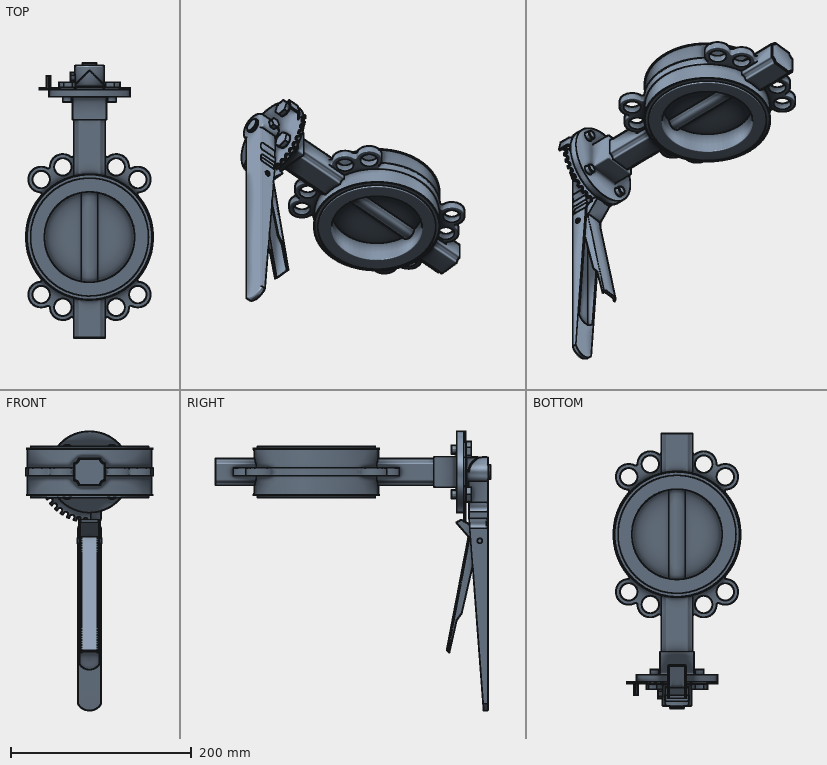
import cadquery as cq
import math


ring_dia = 139.5
ring_waist_dia = 138.0
ring_height = 52.0
rim_height = 1.0
rib_dia = 141.07
rib_height = 9.0
rib_edge_fillet = 0.8
lug_corner_fillet = 2.0
lug_neck_reach_y = 95.0
lug_radius = 14.3
lug_hole_dia = 19.0
lug_centers = [(29.5, 77.6), (53.4, 63.6)]

neck_width = 35.0
neck_height = 30.0
neck_corner_radius = 5.3
neck_bottom_y = -112.0
neck_edge_fillet = 1.2
neck_end_chamfer = 1.0
block_width = 38.0
block_height = 34.0
block_bottom_y = 129.7
block_fillet = 1.5
block_root_fillet = 2.0
flange_dia = 90.0
flange_bottom_y = 155.0
flange_top_y = 163.0

liner_height = 57.0
liner_flange_dia = 130.5
liner_sleeve_dia = 112.0
liner_edge_fillet = 0.8
bore_dia = 100.0
disc_thickness = 6.0
disc_hub_dia = 19.0
stem_dia = 16.0
stem_top_y = 193.0
stem_chamfer = 1.0

plate_thickness = 2.0
plate_top_y = flange_top_y + plate_thickness
sector_radius = 56.0
sector_end_x = 1.6
sector_start_angle = 85.0
notch_dia = 5.0
notch_center_radius = 53.5
first_notch_angle = 4.6
notch_pitch_angle = 8.25
notch_count = 10
stop_angle = 13.0
stop_root_x = -38.0
stop_bend_radius = 1.0
stop_radius = 46.5
stop_width = 12.6
stop_top_y = 178.2

bolt_offset = 35.0 * math.sin(math.radians(45))
bolt_dia = 10.0
bolt_hole_dia = 11.0
bolt_length = 16.0
bolt_chamfer = 0.8
head_width = 16.0
head_height = 6.4
washer_face_height = 0.6
bolt_places = [(-1, 1, -7), (-1, -1, -15), (1, 1, 15), (1, -1, 0)]

hub_dia = 33.0
hub_relief_dia = 30.8
hub_relief_peak_y = 184.5
hub_bottom_y = 166.5
hub_foot_dia = 30.12
lever_top_y = 190.0
lever_width = 25.6
lever_side_y = 168.6
lever_taper_z = -50.0
lever_shoulder_z = -256.5
lever_end_z = -264.0
lever_end_y = 184.8
lever_fillet = 2.0
pocket_width = 21.4
pocket_floor_y = 188.0
pocket_top_z = -54.0
pocket_corner_z = -213.0
pocket_end_z = -218.7
scallop_length = 11.0
scallop_depth = 1.2
scallop_centers_z = [-38.8, -57.0]
clamp_head_width = 10.0
clamp_head_y = 176.3
clamp_head_x = -21.2

trigger_width = 20.0
trigger_wall = 1.5
trigger_sheet = 2.0
trigger_bend = 2.8
channel_top_z = -73.0
pin_dia = 5.5
pin_y = 180.7
pin_z = -76.2
pin_length = 27.6
grip_top = (168.0, -71.5)
grip_end = (144.0, -197.0)


def y_cylinder(dia, y_start, y_end, x=0.0, z=0.0):
    """Cylinder along Y between two heights on the stem axis direction."""
    return (
        cq.Workplane("XZ", origin=(x, y_start, z))
        .circle(dia / 2)
        .extrude(y_start - y_end)
    )


def z_disc(dia, height):
    """Cylinder about Z, centred on the bore."""
    return cq.Workplane("XY").circle(dia / 2).extrude(height / 2, both=True)


def make_lugs():
    """Two overlapping lugs in each quadrant, tied to the ring by the rib."""
    rib = z_disc(rib_dia, rib_height)
    for x_side in (-1, 1):
        for y_side in (-1, 1):
            points = [(x_side * x, y_side * y) for x, y in lug_centers]
            for point in points:
                rib = rib.union(
                    cq.Workplane("XY").center(*point).circle(lug_radius).extrude(rib_height / 2, both=True)
                )
            web = (
                cq.Workplane("XY")
                .polyline([(0, 0), (0, points[0][1]), *points])
                .close()
                .extrude(rib_height / 2, both=True)
            )
            rib = rib.union(web)
    neck_core = cq.Workplane("XY").rect(neck_width, 2 * lug_neck_reach_y).extrude(rib_height / 2, both=True)
    rib = rib.union(neck_core)
    rib = rib.edges("|Z").fillet(lug_corner_fillet)
    rib = rib.faces("<Z or >Z").edges().fillet(rib_edge_fillet)
    holes = [(sx * x, sy * y) for x, y in lug_centers for sx in (-1, 1) for sy in (-1, 1)]
    return rib.cut(
        cq.Workplane("XY").pushPoints(holes).circle(lug_hole_dia / 2).extrude(rib_height, both=True)
    )


def make_housing():
    ring = z_disc(ring_waist_dia, ring_height)
    for side in (-1, 1):
        rim = cq.Workplane("XY", origin=(0, 0, side * ring_height / 2))
        ring = ring.union(rim.circle(ring_dia / 2).extrude(-side * rim_height))
    neck_length = flange_bottom_y - neck_bottom_y
    neck = cq.Workplane("XZ", origin=(0, neck_bottom_y, 0)).rect(neck_width, neck_height).extrude(-neck_length)
    corners = (
        cq.Workplane("XZ", origin=(0, neck_bottom_y, 0))
        .rect(neck_width, neck_height, forConstruction=True)
        .vertices()
        .circle(neck_corner_radius)
        .extrude(-neck_length)
    )
    neck = neck.cut(corners).edges("|Y").fillet(neck_edge_fillet)
    neck = neck.faces("<Y").chamfer(neck_end_chamfer)
    block = (
        cq.Workplane("XZ", origin=(0, block_bottom_y, 0))
        .rect(block_width, block_height)
        .extrude(block_bottom_y - flange_bottom_y)
        .edges("|Y or <Y")
        .fillet(block_fillet)
    )
    flange = y_cylinder(flange_dia, flange_bottom_y, flange_top_y)
    root = cq.selectors.BoxSelector(
        (-block_width, flange_bottom_y - 0.1, -block_height),
        (block_width, flange_bottom_y + 0.1, block_height),
    )
    mount = flange.union(block)
    mount = mount.edges(root).edges("|X or |Z").fillet(block_root_fillet)
    body = ring.union(make_lugs()).union(neck).union(mount)
    body = body.cut(z_disc(liner_sleeve_dia, ring_height))
    body = body.cut(y_cylinder(stem_dia, 0, flange_top_y))
    return body.cut(make_bolt_holes())


def make_bolt_holes():
    holes = cq.Workplane("XY")
    for x_side, z_side, _ in bolt_places:
        hole = y_cylinder(bolt_hole_dia, flange_bottom_y, plate_top_y, x_side * bolt_offset, z_side * bolt_offset)
        holes = holes.union(hole)
    return holes


def make_liner():
    liner = z_disc(liner_sleeve_dia, ring_height)
    for side in (-1, 1):
        flange = cq.Workplane("XY", origin=(0, 0, side * ring_height / 2)).circle(liner_flange_dia / 2)
        liner = liner.union(flange.extrude(side * (liner_height - ring_height) / 2))
    liner = liner.cut(z_disc(bore_dia, liner_height))
    liner = liner.faces("<Z or >Z").edges().fillet(liner_edge_fillet)
    return liner.cut(y_cylinder(stem_dia, 0, liner_flange_dia / 2))


def make_disc():
    disc = z_disc(bore_dia, disc_thickness)
    hub = y_cylinder(disc_hub_dia, -bore_dia / 2, bore_dia / 2)
    disc = disc.union(hub.intersect(z_disc(bore_dia, ring_height)))
    stem = y_cylinder(stem_dia, 0, stem_top_y).faces(">Y").chamfer(stem_chamfer)
    return disc.union(stem)


def make_plate():
    plate = y_cylinder(flange_dia, flange_top_y, plate_top_y)
    start = math.radians(sector_start_angle)
    sector_start = (-sector_radius * math.sin(start), -sector_radius * math.cos(start))
    quadrant = (
        cq.Workplane("XZ", origin=(0, flange_top_y, 0))
        .moveTo(sector_end_x, 0)
        .lineTo(sector_end_x, -math.sqrt(sector_radius**2 - sector_end_x**2))
        .radiusArc(sector_start, sector_radius)
        .lineTo(0, 0)
        .close()
        .extrude(-plate_thickness)
    )
    for index in range(notch_count):
        slot = (
            cq.Workplane("XZ", origin=(0, flange_top_y, 0))
            .center(0, -notch_center_radius)
            .circle(notch_dia / 2)
            .extrude(-plate_thickness)
        )
        slot = slot.union(
            cq.Workplane("XZ", origin=(0, flange_top_y, 0))
            .center(0, -notch_center_radius - notch_dia)
            .rect(notch_dia, 2 * notch_dia)
            .extrude(-plate_thickness)
        )
        turn = first_notch_angle + index * notch_pitch_angle
        quadrant = quadrant.cut(slot.rotate((0, 0, 0), (0, 1, 0), turn))
    plate = plate.union(quadrant).union(make_stop_tab())
    return plate.cut(y_cylinder(stem_dia, flange_top_y, plate_top_y)).cut(make_bolt_holes())


def make_stop_tab():
    """Strip that leaves the plate radially and bends up along the stem direction."""
    outer_x = -stop_radius - plate_thickness / 2
    inner_x = outer_x + plate_thickness
    bend_outer = stop_bend_radius + plate_thickness
    return (
        cq.Workplane("XY")
        .moveTo(stop_root_x, flange_top_y)
        .lineTo(outer_x + bend_outer, flange_top_y)
        .radiusArc((outer_x, flange_top_y + bend_outer), bend_outer)
        .lineTo(outer_x, stop_top_y)
        .lineTo(inner_x, stop_top_y)
        .lineTo(inner_x, plate_top_y + stop_bend_radius)
        .radiusArc((inner_x + stop_bend_radius, plate_top_y), -stop_bend_radius)
        .lineTo(stop_root_x, plate_top_y)
        .close()
        .extrude(stop_width / 2, both=True)
        .rotate((0, 0, 0), (0, 1, 0), stop_angle)
    )


def make_bolt(x_side, z_side, turn):
    head = (
        cq.Workplane("XZ")
        .polygon(6, head_width / math.cos(math.radians(30)))
        .extrude(-head_height + washer_face_height)
        .translate((0, washer_face_height, 0))
        .rotate((0, 0, 0), (0, 1, 0), -turn)
    )
    shank = y_cylinder(bolt_dia, -bolt_length, 0).faces("<Y").chamfer(bolt_chamfer)
    bolt = head.union(y_cylinder(head_width, 0, washer_face_height)).union(shank)
    return bolt.translate((x_side * bolt_offset, plate_top_y, z_side * bolt_offset))


def make_lever():
    half = lever_width / 2
    arm_side = (
        cq.Workplane("YZ", origin=(-half, 0, 0))
        .polyline(
            [
                (lever_top_y, 0),
                (lever_side_y, 0),
                (lever_side_y, lever_taper_z),
                (lever_end_y, lever_end_z),
                (lever_top_y, lever_end_z),
            ]
        )
        .close()
        .extrude(lever_width)
    )
    arm_front = (
        cq.Workplane("XZ", origin=(0, lever_top_y, 0))
        .moveTo(-half, 0)
        .lineTo(-half, lever_shoulder_z)
        .threePointArc((0, lever_end_z), (half, lever_shoulder_z))
        .lineTo(half, 0)
        .close()
        .extrude(lever_top_y - lever_side_y)
    )
    hub = y_cylinder(hub_dia, hub_bottom_y, lever_top_y)
    lever = arm_side.intersect(arm_front).union(hub)
    lever = lever.faces(">Y").edges().fillet(lever_fillet)

    pocket = (
        cq.Workplane("XZ", origin=(0, pocket_floor_y, 0))
        .moveTo(-pocket_width / 2, pocket_top_z)
        .lineTo(-pocket_width / 2, pocket_corner_z)
        .threePointArc((0, pocket_end_z), (pocket_width / 2, pocket_corner_z))
        .lineTo(pocket_width / 2, pocket_top_z)
        .close()
        .extrude(pocket_floor_y - hub_bottom_y)
    )
    lever = lever.cut(pocket)

    scallop_radius = ((scallop_length / 2) ** 2 + scallop_depth**2) / (2 * scallop_depth)
    for side in (-1, 1):
        for z in scallop_centers_z:
            x = side * (half - scallop_depth + scallop_radius)
            lever = lever.cut(y_cylinder(2 * scallop_radius, hub_bottom_y, lever_top_y, x, z))

    roof = (
        cq.Workplane("XY")
        .polyline(
            [
                (0, hub_relief_peak_y),
                (hub_dia / 2, hub_relief_peak_y - hub_dia / 2),
                (hub_dia / 2, hub_bottom_y),
                (-hub_dia / 2, hub_bottom_y),
                (-hub_dia / 2, hub_relief_peak_y - hub_dia / 2),
            ]
        )
        .close()
        .extrude(hub_dia)
    )
    lever = lever.cut(roof.cut(y_cylinder(hub_relief_dia, hub_bottom_y, lever_top_y)))

    clamp_head = (
        cq.Workplane("YZ", origin=(clamp_head_x, clamp_head_y, 0))
        .polygon(6, clamp_head_width / math.cos(math.radians(30)))
        .extrude(-clamp_head_x - stem_dia / 2)
    )
    foot = y_cylinder(hub_foot_dia, plate_top_y, hub_bottom_y)
    lever = lever.union(clamp_head).union(foot).cut(y_cylinder(stem_dia, plate_top_y, lever_top_y))
    pin_hole = cq.Workplane("YZ", origin=(0, pin_y, pin_z)).circle(pin_dia / 2).extrude(lever_width, both=True)
    return lever.cut(pin_hole)


def make_trigger():
    profile = [
        (168.9, -57.7),
        (160.5, -52.7),
        (154.4, -55.9),
        grip_top,
        grip_end,
        (147.1, -200.1),
        (155.2, -164.0),
        (160.8, -156.3),
        (176.5, -88.0),
        (184.5, -80.0),
        (184.5, -72.0),
    ]
    half = trigger_width / 2
    body = cq.Workplane("YZ").polyline(profile).close().extrude(half, both=True)
    grip_edges = cq.selectors.BoxSelector((-half - 1, 155, -140), (half + 1, 157, -130))
    body = body.edges(grip_edges).fillet(trigger_bend)
    slope = (grip_end[0] - grip_top[0]) / (grip_end[1] - grip_top[1])

    def sheet_inner_y(z):
        return grip_top[0] + slope * (z - grip_top[1]) + trigger_sheet

    channel_bottom_z = lever_end_z
    channel = (
        cq.Workplane("YZ")
        .polyline(
            [
                (sheet_inner_y(channel_top_z), channel_top_z),
                (lever_top_y, channel_top_z),
                (lever_top_y, channel_bottom_z),
                (sheet_inner_y(channel_bottom_z), channel_bottom_z),
            ]
        )
        .close()
        .extrude(half - trigger_wall, both=True)
    )
    pin = cq.Workplane("YZ", origin=(0, pin_y, pin_z)).circle(pin_dia / 2).extrude(pin_length / 2, both=True)
    groove = y_cylinder(2 * sector_radius, flange_top_y, plate_top_y)
    return body.cut(channel).union(pin).cut(groove)


housing = make_housing()
liner = make_liner()
disc = make_disc()
notch_plate = make_plate()
lever = make_lever()
trigger = make_trigger()
bolts = [make_bolt(*place).val() for place in bolt_places]

result = cq.Compound.makeCompound(
    [housing.val(), liner.val(), disc.val(), notch_plate.val(), lever.val(), trigger.val(), *bolts]
)